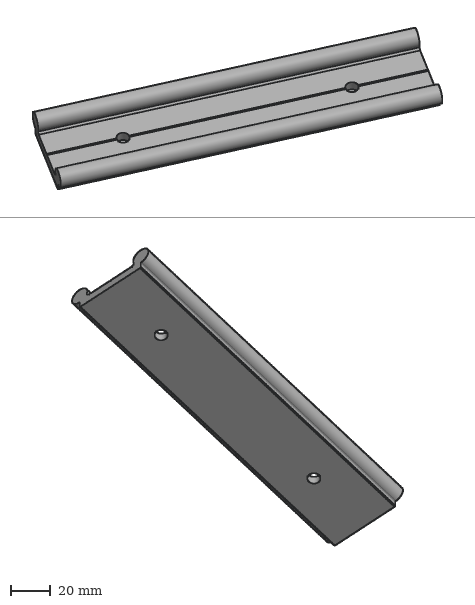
import cadquery as cq
import math

length = 200.0
overall_width = 50.0
overall_height = 14.0

rail_radius = 5.0
rail_x = overall_width / 2 - rail_radius
rail_z = overall_height - rail_radius

base_thickness = 5.5
base_half_width = rail_x
base_edge_chamfer = 0.5

underside_fillet = 0.3

channel_half_width = 15.25
floor_half_width = 14.0
bevel_height = 1.0

groove_width = 1.0
groove_depth = 0.3

hole_diameter = 6.6
hole_spacing = 120.0


def rail_point(angle):
    """Point (x, z) on the circle of the +X rail."""
    return (
        rail_x + rail_radius * math.cos(angle),
        rail_z + rail_radius * math.sin(angle),
    )


def make_half_body():
    """The +X half: its XZ cross-section extruded along the whole length, centred on Y."""
    centre_offset = base_half_width + underside_fillet - rail_x
    centre_drop = math.sqrt((rail_radius + underside_fillet) ** 2 - centre_offset ** 2)
    rail_start_angle = math.atan2(-centre_drop, centre_offset)

    rail_end_angle = math.pi + math.acos((rail_x - channel_half_width) / rail_radius)
    rail_middle_angle = (rail_start_angle + rail_end_angle) / 2

    half = (
        cq.Workplane("XZ")
        .lineTo(base_half_width - base_edge_chamfer, 0)
        .lineTo(base_half_width, base_edge_chamfer)
        .lineTo(base_half_width, rail_z - centre_drop)
        .radiusArc(rail_point(rail_start_angle), underside_fillet)
        .threePointArc(rail_point(rail_middle_angle), rail_point(rail_end_angle))
        .lineTo(channel_half_width, base_thickness + bevel_height)
        .lineTo(floor_half_width, base_thickness)
        .lineTo(groove_width / 2, base_thickness)
        .lineTo(0, base_thickness - groove_depth)
        .close()
    )
    return half.extrude(length / 2, both=True)


def make_body():
    """Both halves joined at the YZ plane."""
    half = make_half_body()
    return half.union(half.mirror("YZ"))


def drill_mounting_holes(body):
    """Cut the through holes along the centre line."""
    holes = (
        cq.Workplane("XY")
        .pushPoints([(0, -hole_spacing / 2), (0, hole_spacing / 2)])
        .circle(hole_diameter / 2)
        .extrude(base_thickness)
    )
    return body.cut(holes)


result = drill_mounting_holes(make_body())